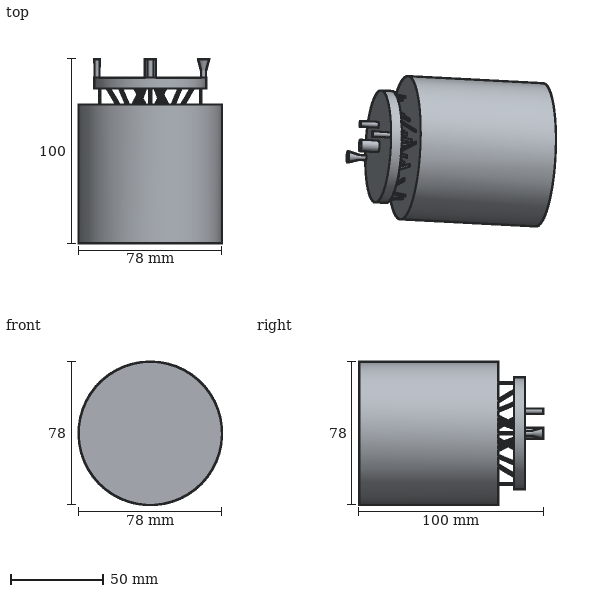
import cadquery as cq
import math

total_length = 100.0
body_length = 75.5
plate_front = 84.0
plate_back = 90.0
flare_start = 93.8

body_diameter = 78.0
plate_diameter = 61.0
embed = 1.0

thin_rod_diameter = 1.0
thick_rod_diameter = 1.4
thin_rod_offset = 27.4
thin_rod_plate_spread = 8.0
thin_rod_body_spread = 3.2
rods_per_cone = 8
outer_rod_plate_radius = 22.7
outer_rod_body_radius = 17.7
inner_rod_plate_radius = 4.5
inner_rod_body_radius = 8.8

terminal_offset = 28.9
terminal_diameter = 2.8
small_flare_diameter = 3.2
large_flare_diameter = 6.3
center_post_diameter = 6.3
side_post_diameter = 3.2
side_post_height = 12.0


def cylinder(diameter, start, end, x=0.0, z=0.0):
    """Cylinder along +Y between two stations."""
    return cq.Workplane(cq.Solid.makeCylinder(
        diameter / 2, end - start, cq.Vector(x, start, z), cq.Vector(0, 1, 0)))


def rod(diameter, body_point, plate_point):
    """Rod from an (x, z) point on the body to one on the plate, sunk into both."""
    start = cq.Vector(body_point[0], body_length, body_point[1])
    end = cq.Vector(plate_point[0], plate_front, plate_point[1])
    run = end - start
    sink = run * (embed / (plate_front - body_length))
    return cq.Workplane(cq.Solid.makeCylinder(
        diameter / 2, (run + sink * 2).Length, start - sink, run))


def polar(radius, angle):
    """(x, z) point at a radius and an angle in degrees from +X."""
    return (radius * math.cos(math.radians(angle)), radius * math.sin(math.radians(angle)))


def thin_rod_pair():
    """Two rods in one plane parallel to the axis, closer together at the body."""
    pair = cq.Workplane()
    for side in (-1, 1):
        pair = pair.add(rod(
            thin_rod_diameter,
            (side * thin_rod_body_spread, thin_rod_offset),
            (side * thin_rod_plate_spread, thin_rod_offset)))
    return pair


def cone_of_rods(body_radius, plate_radius):
    """Thick rods spaced evenly round the axis, each leaning radially."""
    rods = cq.Workplane()
    for index in range(rods_per_cone):
        angle = 360 / rods_per_cone * index
        rods = rods.add(rod(thick_rod_diameter, polar(body_radius, angle), polar(plate_radius, angle)))
    return rods


def flared_terminal(x, end_diameter):
    """Straight pin that widens to a conical tip."""
    pin = cylinder(terminal_diameter, plate_back - embed, flare_start, x)
    tip = cq.Workplane(cq.Solid.makeCone(
        terminal_diameter / 2, end_diameter / 2, total_length - flare_start,
        cq.Vector(x, flare_start, 0), cq.Vector(0, 1, 0)))
    return pin.union(tip)


result = cylinder(body_diameter, 0, body_length)
result = result.union(cylinder(plate_diameter, plate_front, plate_back))

rods = cone_of_rods(outer_rod_body_radius, outer_rod_plate_radius)
rods = rods.add(cone_of_rods(inner_rod_body_radius, inner_rod_plate_radius))
for quarter in range(4):
    rods = rods.add(thin_rod_pair().rotate((0, 0, 0), (0, 1, 0), 90 * quarter))
for single_rod in rods.vals():
    result = result.union(cq.Workplane(single_rod))

result = result.union(flared_terminal(-terminal_offset, small_flare_diameter))
result = result.union(flared_terminal(terminal_offset, large_flare_diameter))
result = result.union(cylinder(center_post_diameter, plate_back - embed, total_length))
result = result.union(cylinder(
    side_post_diameter, plate_back - embed, total_length, z=side_post_height))